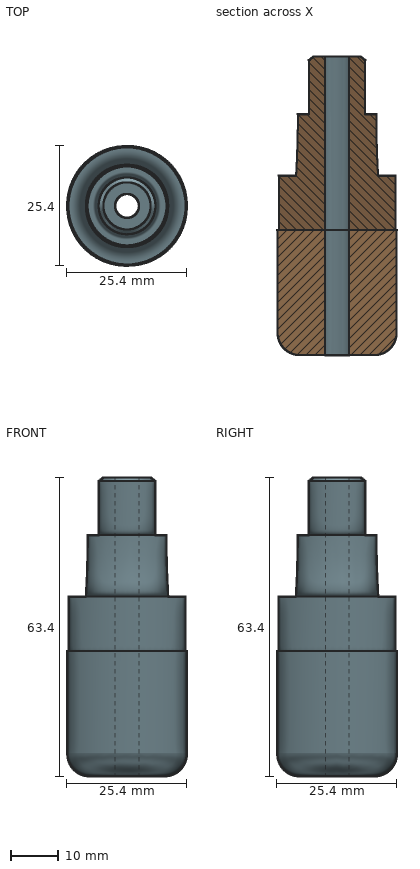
import cadquery as cq

total_height = 63.35
grip_top = 26.6
collar_top = 38.1
hub_top = 51.1

grip_diameter = 25.4
grip_radius = grip_diameter / 2
collar_radius = 12.4
hub_base_radius = 8.75
hub_top_radius = 8.35
neck_radius = 6.0
bore_diameter = 5.0
bore_radius = bore_diameter / 2

bottom_fillet = 4.9
tip_chamfer_width = 1.0
tip_chamfer_height = 0.8

hub_height = hub_top - collar_top
hub_flare = hub_base_radius - hub_top_radius
flare_mid_height = hub_top - hub_height / 2
flare_arc_radius = (hub_height**2 + hub_flare**2) / (2 * hub_flare)
flare_arc_center = hub_top_radius + flare_arc_radius
flare_mid_radius = flare_arc_center - (flare_arc_radius**2 - (hub_height / 2) ** 2) ** 0.5


def make_grip():
    """Lower cylinder with a rounded bottom edge and a through bore."""
    grip = cq.Workplane("XY").circle(grip_radius).extrude(grip_top)
    grip = grip.faces("<Z").edges().fillet(bottom_fillet)
    bore = cq.Workplane("XY").circle(bore_radius).extrude(grip_top)
    return grip.cut(bore)


def make_stem():
    """Bored upper body: collar, flared hub and chamfered neck, revolved about Z."""
    profile = (
        cq.Workplane("XZ")
        .moveTo(bore_radius, grip_top)
        .lineTo(collar_radius, grip_top)
        .lineTo(collar_radius, collar_top)
        .lineTo(hub_base_radius, collar_top)
        .threePointArc((flare_mid_radius, flare_mid_height), (hub_top_radius, hub_top))
        .lineTo(neck_radius, hub_top)
        .lineTo(neck_radius, total_height - tip_chamfer_height)
        .lineTo(neck_radius - tip_chamfer_width, total_height)
        .lineTo(bore_radius, total_height)
        .close()
    )
    return profile.revolve(360, (0, 0, 0), (0, 1, 0))


grip = make_grip()
stem = make_stem()

result = cq.Compound.makeCompound([grip.val(), stem.val()])